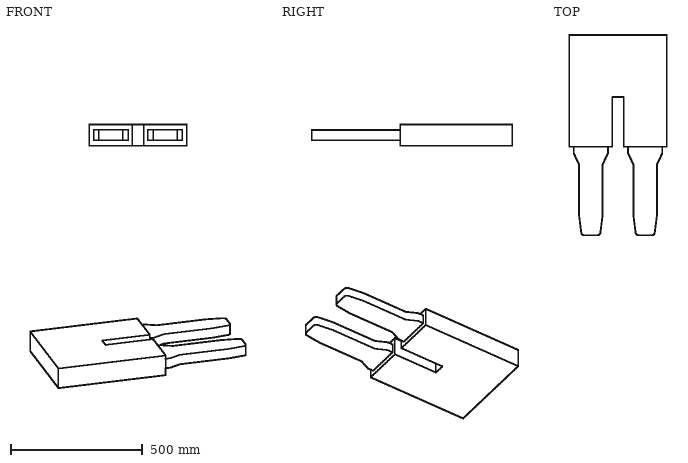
import cadquery as cq

overall_length = 762.0
body_width = 371.0
body_thickness = 81.5
prong_length = 336.0
body_length = overall_length - prong_length
slot_width = 43.5
slot_depth = 189.0

prong_pitch = 206.5
prong_thickness = 40.0
root_width = 131.0
shaft_width = 90.0
tip_width = 71.0
shoulder_start = 24.0
shoulder_end = 67.0
taper_start = 261.0
tip_radius = 14.0
shoulder_radius = 8.0


def make_body():
    """Slotted block, front face on Y = 0 and centred on X = 0 and Z = 0."""
    block = cq.Workplane("XY").box(
        body_width, body_length, body_thickness, centered=(True, False, True)
    )
    slot = cq.Workplane("XY").box(
        slot_width, slot_depth, body_thickness, centered=(True, False, True)
    )
    return block.cut(slot)


def make_prong():
    """One prong reaching in -Y from the front face, centred on X = 0."""
    right_side = [
        (root_width / 2, 0),
        (root_width / 2, -shoulder_start),
        (shaft_width / 2, -shoulder_end),
        (shaft_width / 2, -taper_start),
        (tip_width / 2, -prong_length),
    ]
    left_side = [(-x, y) for x, y in reversed(right_side)]
    prong = (
        cq.Workplane("XY")
        .workplane(offset=-prong_thickness / 2)
        .polyline(right_side + left_side)
        .close()
        .extrude(prong_thickness)
    )

    margin = 1.0
    tip_zone = cq.selectors.BoxSelector(
        (-root_width, -prong_length - margin, -prong_thickness),
        (root_width, -prong_length + margin, prong_thickness),
    )
    shoulder_zone = cq.selectors.BoxSelector(
        (-root_width, -shoulder_end - margin, -prong_thickness),
        (root_width, -shoulder_start + margin, prong_thickness),
    )
    prong = prong.edges("|Z").edges(tip_zone).fillet(tip_radius)
    return prong.edges("|Z").edges(shoulder_zone).fillet(shoulder_radius)


result = make_body()
for side in (-1, 1):
    result = result.union(make_prong().translate((side * prong_pitch / 2, 0, 0)))